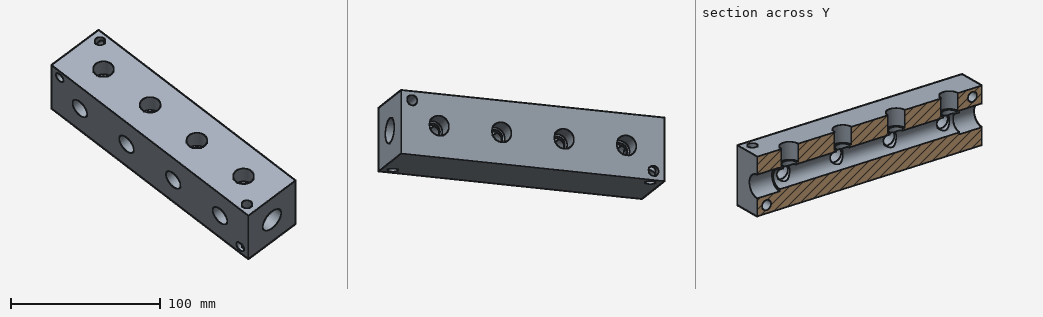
import cadquery as cq

length = 187.3
side = 44.4

bore_diameter = 14.2
bore_thread_diameter = 17.2
bore_thread_depth = 18.7

port_count = 4
port_pitch = side
port_drill_diameter = 10.7
port_thread_diameter = 13.9
port_thread_depth = 13.1

mount_diameter = 7.1
mount_end_inset = 7.9
mount_side_inset = 6.4

port_positions = [((i - (port_count - 1) / 2) * port_pitch, 0) for i in range(port_count)]
mount_x = length / 2 - mount_end_inset
mount_offset = side / 2 - mount_side_inset
mount_positions = [(-mount_x, mount_offset), (mount_x, -mount_offset)]


def face_plane(normal):
    """Plane on the outer face with this normal; its local x runs along the part's X."""
    origin = tuple(side / 2 * component for component in normal)
    return cq.Plane(origin=origin, xDir=(1, 0, 0), normal=normal)


def cylinders(plane, positions, diameter, depth):
    """Cylinders running from the plane into the block."""
    return cq.Workplane(plane).pushPoints(positions).circle(diameter / 2).extrude(-depth)


def cut_port_face(body, normal):
    """Cut the ports, which stop at the main bore, and the mounting holes of one face."""
    plane = face_plane(normal)
    body = body.cut(cylinders(plane, port_positions, port_drill_diameter, side / 2))
    body = body.cut(cylinders(plane, port_positions, port_thread_diameter, port_thread_depth))
    return body.cut(cylinders(plane, mount_positions, mount_diameter, side))


def cut_main_bore(body):
    """Cut the through bore and the wider thread length at both ends."""
    body = body.cut(cq.Workplane("YZ").circle(bore_diameter / 2).extrude(length / 2, both=True))
    for direction in (-1, 1):
        end = cq.Workplane("YZ", origin=(direction * length / 2, 0, 0))
        thread = end.circle(bore_thread_diameter / 2).extrude(-direction * bore_thread_depth)
        body = body.cut(thread)
    return body


block = cq.Workplane("XY").box(length, side, side)
block = cut_main_bore(block)
for face_normal in ((0, -1, 0), (0, 0, 1)):
    block = cut_port_face(block, face_normal)

result = block